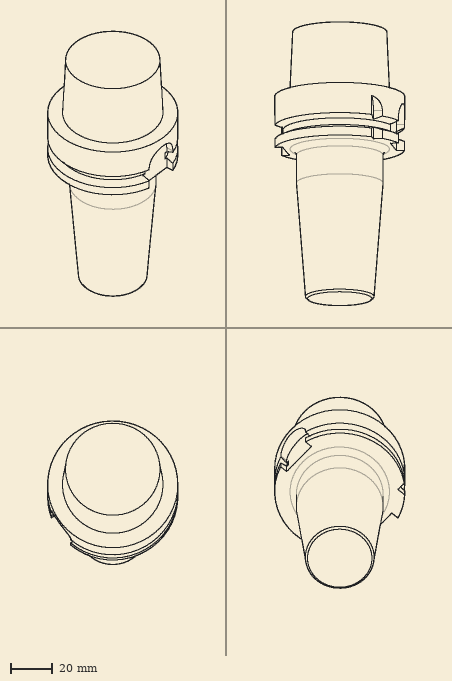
import cadquery as cq
import math

total_height = 132.0
collar_top = 100.0
collar_bottom = 74.0

cone_top_radius = 22.8
cone_base_radius = 24.3

collar_radius = 63.0 / 2
groove_radius = 27.5
groove_floor_bottom = 80.1
groove_floor_top = 83.4
groove_bevel_height = 1.7

shank_radius = 42.0 / 2
root_fillet = 3.0
taper_start = 57.2
nose_radius = 16.6
nose_chamfer = 1.0

narrow_slot_width = 16.4
wide_slot_width = 18.0
slot_floor_distance = 26.4
slot_top = 95.0

notch_floor_distance = 20.2
notch_inner_edge = 19.7
notch_radius = 7.1
notch_arc_center_height = 87.9


def make_turned_body():
    """Revolve the half outline of the holder about the Z axis."""
    fillet_middle = root_fillet * (1 - math.sqrt(0.5))
    outline = (
        cq.Workplane("XZ")
        .lineTo(nose_radius - nose_chamfer, 0)
        .lineTo(nose_radius, nose_chamfer)
        .lineTo(shank_radius, taper_start)
        .lineTo(shank_radius, collar_bottom - root_fillet)
        .threePointArc(
            (shank_radius + fillet_middle, collar_bottom - fillet_middle),
            (shank_radius + root_fillet, collar_bottom),
        )
        .lineTo(collar_radius, collar_bottom)
        .lineTo(collar_radius, groove_floor_bottom - groove_bevel_height)
        .lineTo(groove_radius, groove_floor_bottom)
        .lineTo(groove_radius, groove_floor_top)
        .lineTo(collar_radius, groove_floor_top + groove_bevel_height)
        .lineTo(collar_radius, collar_top)
        .lineTo(cone_base_radius, collar_top)
        .lineTo(cone_top_radius, total_height)
        .lineTo(0, total_height)
        .close()
    )
    return outline.revolve(360, (0, 0, 0), (0, 1, 0))


def make_round_top_cutter(center_y, radius, arc_center_height, floor_distance):
    """Arched cutter on the -X side that leaves a flat floor at x = -floor_distance."""
    return (
        cq.Workplane("YZ", origin=(-floor_distance, 0, 0))
        .moveTo(center_y - radius, collar_bottom)
        .lineTo(center_y - radius, arc_center_height)
        .threePointArc(
            (center_y, arc_center_height + radius),
            (center_y + radius, arc_center_height),
        )
        .lineTo(center_y + radius, collar_bottom)
        .close()
        .extrude(-collar_radius)
    )


holder = make_turned_body()

for slot_width, angle in ((narrow_slot_width, 0), (wide_slot_width, 180)):
    slot_radius = slot_width / 2
    slot_cutter = make_round_top_cutter(0, slot_radius, slot_top - slot_radius, slot_floor_distance)
    holder = holder.cut(slot_cutter.rotate((0, 0, 0), (0, 0, 1), angle))

notch_center_y = notch_inner_edge + notch_radius
holder = holder.cut(
    make_round_top_cutter(notch_center_y, notch_radius, notch_arc_center_height, notch_floor_distance)
)

result = cq.Compound.makeCompound([holder.val()])